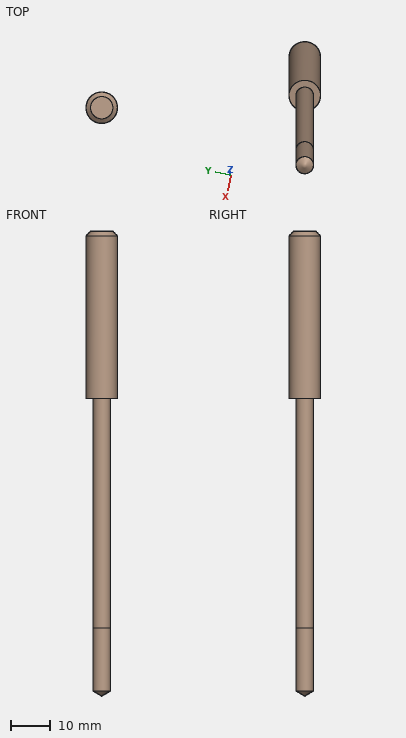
import cadquery as cq
import math

total_length = 117.0
shank_diameter = 8.0
shank_length = 42.1
chamfer_height = 1.2
chamfer_width = 1.2

neck_diameter = 4.5
tip_length = 17.2
point_angle = 118.0

shank_radius = shank_diameter / 2
neck_radius = neck_diameter / 2
point_height = neck_radius / math.tan(math.radians(point_angle / 2))
shank_bottom = total_length - shank_length


def make_holder():
    """Chamfered shank and the neck below it, turned as one body."""
    return (
        cq.Workplane("XZ")
        .moveTo(0, tip_length)
        .lineTo(neck_radius, tip_length)
        .lineTo(neck_radius, shank_bottom)
        .lineTo(shank_radius, shank_bottom)
        .lineTo(shank_radius, total_length - chamfer_height)
        .lineTo(shank_radius - chamfer_width, total_length)
        .lineTo(0, total_length)
        .close()
        .revolve(360, (0, 0, 0), (0, 1, 0))
    )


def make_tip():
    """Cylindrical cutting tip with a conical point, butted to the neck."""
    return (
        cq.Workplane("XZ")
        .lineTo(neck_radius, point_height)
        .lineTo(neck_radius, tip_length)
        .lineTo(0, tip_length)
        .close()
        .revolve(360, (0, 0, 0), (0, 1, 0))
    )


holder = make_holder()
tip = make_tip()
result = cq.Compound.makeCompound([holder.val(), tip.val()])